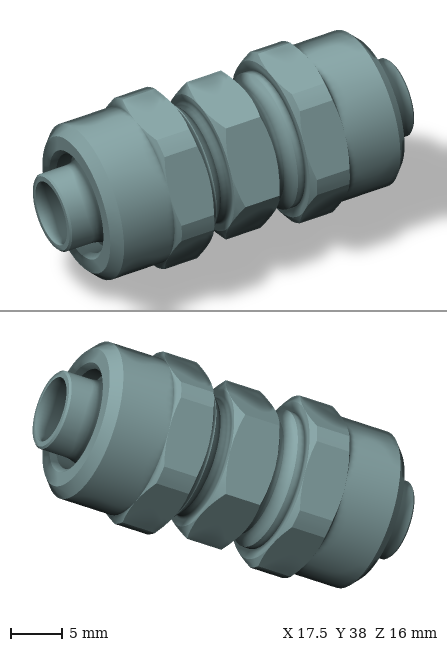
import cadquery as cq
import math

half_length = 19.0
cone_angle = math.radians(30)

body_flats = 14.0
body_hex_half_width = 2.5

neck_radius = 6.0
neck_fillet = 0.3
collar_radius = 7.0
neck_end = 3.5
collar_start = neck_end + (collar_radius - neck_radius)

nut_flats = 16.0
nut_corner_diameter = 17.48
nut_hex_start = 5.25
nut_hex_end = 9.7
barrel_radius = nut_flats / 2
barrel_end = 16.23
barrel_chamfer = 1.0

mouth_radius = 5.1
mouth_chamfer = 0.5

tube_radius = 4.0
tube_edge = 0.2
root_start = 16.2
root_radius = 4.55
root_curve_radius = 4.0
bore_radius = 3.25


def revolve_about_y(profile):
    """Turn a closed profile, drawn as (radius, station), around the Y axis."""
    return profile.revolve(360, (0, 0, 0), (0, 1, 0))


def chamfered_hexagon(flats, corner_radius, start, end):
    """Hexagonal prism along Y, flats facing +Z and -Z, with coned corners."""
    corner_diameter = flats / math.cos(math.pi / 6)
    prism = (
        cq.Workplane("XZ", origin=(0, start, 0))
        .polygon(6, corner_diameter)
        .extrude(start - end)
    )
    flat_radius = flats / 2
    drop = (corner_radius - flat_radius) * math.tan(cone_angle)
    envelope = (
        cq.Workplane("XY")
        .moveTo(0, start)
        .lineTo(flat_radius, start)
        .lineTo(corner_radius, start + drop)
        .lineTo(corner_radius, end - drop)
        .lineTo(flat_radius, end)
        .lineTo(0, end)
        .close()
    )
    return prism.intersect(revolve_about_y(envelope))


def neck_and_collar():
    """Neck with a filleted foot, flaring out to the collar behind the nut."""
    foot_middle = neck_fillet * (1 - math.sqrt(0.5))
    profile = (
        cq.Workplane("XY")
        .moveTo(0, 0)
        .lineTo(neck_radius + neck_fillet, 0)
        .lineTo(neck_radius + neck_fillet, body_hex_half_width)
        .threePointArc(
            (neck_radius + foot_middle, body_hex_half_width + foot_middle),
            (neck_radius, body_hex_half_width + neck_fillet),
        )
        .lineTo(neck_radius, neck_end)
        .lineTo(collar_radius, collar_start)
        .lineTo(collar_radius, nut_hex_start)
        .lineTo(0, nut_hex_start)
        .close()
    )
    return revolve_about_y(profile)


def barrel_and_stem():
    """Nut barrel, its open mouth and the stem inside it, as one outline."""
    root_sweep = math.acos(1 - (root_radius - tube_radius) / root_curve_radius)
    mouth_floor = root_start - root_curve_radius * math.sin(root_sweep)
    root_middle = (
        tube_radius + root_curve_radius * (1 - math.cos(root_sweep / 2)),
        root_start - root_curve_radius * math.sin(root_sweep / 2),
    )
    profile = (
        cq.Workplane("XY")
        .moveTo(0, nut_hex_start)
        .lineTo(collar_radius, nut_hex_start)
        .lineTo(collar_radius, nut_hex_end)
        .lineTo(barrel_radius, nut_hex_end)
        .lineTo(barrel_radius, barrel_end - barrel_chamfer)
        .lineTo(barrel_radius - barrel_chamfer, barrel_end)
        .lineTo(mouth_radius + mouth_chamfer, barrel_end)
        .lineTo(mouth_radius, barrel_end - mouth_chamfer)
        .lineTo(mouth_radius, mouth_floor)
        .lineTo(root_radius, mouth_floor)
        .threePointArc(root_middle, (tube_radius, root_start))
        .lineTo(tube_radius, half_length - tube_edge)
        .lineTo(tube_radius - tube_edge, half_length)
        .lineTo(0, half_length)
        .close()
    )
    return revolve_about_y(profile)


nut_hexagon = chamfered_hexagon(nut_flats, nut_corner_diameter / 2, nut_hex_start, nut_hex_end)
fitting_end = neck_and_collar().union(nut_hexagon).union(barrel_and_stem())

body_corner_radius = body_flats / 2 / math.cos(math.pi / 6)
body_hexagon = chamfered_hexagon(
    body_flats, body_corner_radius, -body_hex_half_width, body_hex_half_width
)

bore = cq.Workplane("XZ").circle(bore_radius).extrude(half_length, both=True)

result = body_hexagon.union(fitting_end).union(fitting_end.mirror("XZ")).cut(bore)